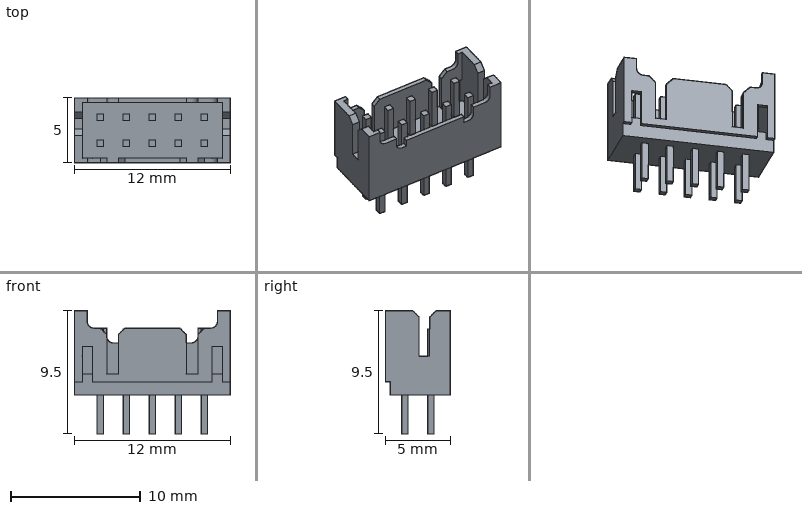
import cadquery as cq


length = 12.0
depth = 5.0
height = 6.5
end_wall = 0.61
side_wall = 0.36
floor_top = 1.62
skirt_bottom = 1.02

shoulder_z = 5.16
post_width = 1.0
gap_start = 2.5
gap_end = 3.38
corner = 0.5
back_gap_z = 4.02
back_tab_z = 4.6

window_width = 0.78
window_top = 3.73
slot_width = 0.8
slot_y = 0.5
slot_bottom = 3.0

pin_columns = 5
pin_rows = 2
pin_pitch = 2.0
pin_size = 0.5
pin_top = 5.09
pin_bottom = -3.0

half_length = length / 2
half_depth = depth / 2
post_x = half_length - post_width
shoulder_x = half_length - gap_start
tab_x = half_length - gap_end


def box(x_min, x_max, y_min, y_max, z_min, z_max):
    """Axis-aligned box between the given limits."""
    size = (x_max - x_min, y_max - y_min, z_max - z_min)
    return cq.Workplane("XY").box(*size, centered=False).translate((x_min, y_min, z_min))


def with_mirror(half):
    """Add the copy of a shape reflected across the YZ plane."""
    return half.union(half.mirror("YZ"))


def wall_cut(half_outline, outer_y):
    """Cutter through one side wall, from the right half of its outline in XZ."""
    half = half_outline.close().extrude(-side_wall).translate((0, outer_y, 0))
    return with_mirror(half)


def housing_shell():
    """Box with a rectangular cavity and a base set back under the front wall."""
    shell = box(-half_length, half_length, -half_depth, half_depth, 0, height)
    cavity = box(
        -half_length + end_wall, half_length - end_wall,
        -half_depth + side_wall, half_depth - side_wall,
        floor_top, height,
    )
    setback = box(-half_length, half_length, -half_depth, -half_depth + side_wall, 0, skirt_bottom)
    return shell.cut(cavity).cut(setback)


def shoulder_start():
    """Start of a wall outline: middle of the top edge, across, then down the post to its shoulder."""
    return (
        cq.Workplane("XZ")
        .moveTo(0, height)
        .lineTo(post_x, height)
        .lineTo(post_x, shoulder_z + corner)
        .radiusArc((post_x - corner, shoulder_z), corner)
    )


def front_wall_cut():
    """Deep gaps beside a full-height tab, with chamfers on both sides of each gap."""
    outline = (
        shoulder_start()
        .lineTo(shoulder_x + corner, shoulder_z)
        .lineTo(shoulder_x, shoulder_z - corner)
        .lineTo(shoulder_x, floor_top)
        .lineTo(tab_x, floor_top)
        .lineTo(tab_x, shoulder_z - corner)
        .lineTo(tab_x - corner, shoulder_z)
        .lineTo(0, shoulder_z)
    )
    return wall_cut(outline, -half_depth)


def back_wall_cut():
    """Shallow gaps with a filleted outer corner, beside a lower square tab."""
    outline = (
        shoulder_start()
        .lineTo(shoulder_x, shoulder_z)
        .lineTo(shoulder_x, back_gap_z + corner)
        .radiusArc((shoulder_x - corner, back_gap_z), corner)
        .lineTo(tab_x, back_gap_z)
        .lineTo(tab_x, back_tab_z)
        .lineTo(0, back_tab_z)
    )
    return wall_cut(outline, half_depth - side_wall)


def front_windows():
    """Openings in the front wall next to the end walls, running down through its lower edge."""
    window_outer = half_length - end_wall
    window = box(
        window_outer - window_width, window_outer,
        -half_depth, -half_depth + side_wall,
        skirt_bottom, window_top,
    )
    return with_mirror(window)


def end_slots():
    """Vertical slot through both end walls, flared at the top."""
    half_slot = slot_width / 2
    flare = half_slot + corner
    return (
        cq.Workplane("YZ")
        .polyline([
            (slot_y - half_slot, slot_bottom),
            (slot_y + half_slot, slot_bottom),
            (slot_y + half_slot, height - corner),
            (slot_y + flare, height),
            (slot_y - flare, height),
            (slot_y - half_slot, height - corner),
        ])
        .close()
        .extrude(half_length, both=True)
    )


def pins():
    """Grid of square pins passing through the housing floor."""
    return (
        cq.Workplane("XY")
        .workplane(offset=pin_bottom)
        .rarray(pin_pitch, pin_pitch, pin_columns, pin_rows)
        .rect(pin_size, pin_size)
        .extrude(pin_top - pin_bottom)
    )


housing = housing_shell()
for cutter in (front_wall_cut(), back_wall_cut(), front_windows(), end_slots()):
    housing = housing.cut(cutter)

result = housing.union(pins())